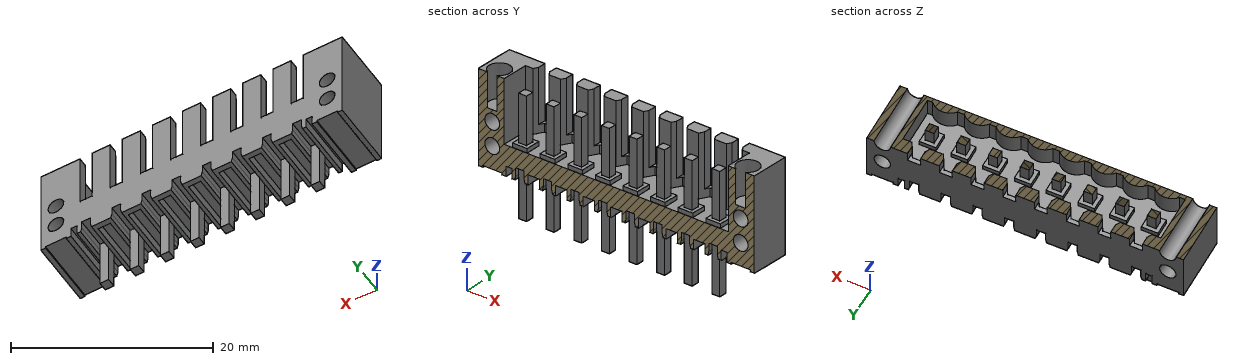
import cadquery as cq


LENGTH = 35.0
WIDTH = 7.45
HEIGHT = 11.05
FRONT = -WIDTH / 2
BACK = WIDTH / 2

PIN_COUNT = 8
PITCH = 3.5
PIN_SIZE = 1.0
PIN_Y = FRONT + 3.5
PIN_BOTTOM = -4.5
PIN_TOP = HEIGHT - 1.35
COLLAR_SIZE = 1.85
COLLAR_HEIGHT = 0.5

POCKET_LENGTH = 28.4
POCKET_FRONT = FRONT + 0.5
POCKET_BACK = FRONT + 5.9
POCKET_FLOOR = 3.6

RIB_WIDTH = 2.75
RIB_HEIGHT = 0.65

GROOVE_MOUTH = 2.0
GROOVE_BOTTOM = 0.8
GROOVE_BACK = FRONT + 6.95
SLOT_WIDTH = 1.4
SLOT_FLOOR = 4.6

POST_X = LENGTH / 2 - 1.75
SCREW_DIAMETER = 2.6
SCREW_FLOOR = 7.0
CROSS_DIAMETER = 1.8
CROSS_HEIGHTS = (2.85, 5.6)
FOOT_RELIEF_WIDTH = 2.4
FOOT_RELIEF_HEIGHT = 0.2

RECESS_LENGTH = 28.0
RECESS_DEPTH = 0.6
RECESS_HEIGHT = 2.8
NOTCH_WIDTH = 1.4
NOTCH_HEIGHT = 1.15
NOTCH_BACK = BACK - RECESS_DEPTH
CHANNEL_HEIGHT = 1.4
FLARE_HEIGHT = 0.5
FLARE_WIDTH = 0.13

PIN_XS = [(i - (PIN_COUNT - 1) / 2) * PITCH for i in range(PIN_COUNT)]
NOTCH_XS = [x + PITCH / 2 for x in PIN_XS[:-1]]
END_NOTCH_INNER = PIN_XS[-1] + (PITCH - NOTCH_WIDTH) / 2


def box(x_range, y_range, z_range):
    """Box between two limits along each axis."""
    (x0, x1), (y0, y1), (z0, z1) = x_range, y_range, z_range
    return cq.Workplane("XY").box(x1 - x0, y1 - y0, z1 - z0, centered=False).translate((x0, y0, z0))


def span(centre, width):
    """Limits of a width centred on a place."""
    return (centre - width / 2, centre + width / 2)


def square_post(x, size, bottom, top):
    """Square upright post on a pin's axis."""
    return box(span(x, size), span(PIN_Y, size), (bottom, top))


def front_rib(x):
    """Convex rib on the pocket's front wall, facing a pin."""
    return (
        cq.Workplane("XY", origin=(x, POCKET_FRONT, POCKET_FLOOR))
        .moveTo(-RIB_WIDTH / 2, 0)
        .threePointArc((0, RIB_HEIGHT), (RIB_WIDTH / 2, 0))
        .close()
        .extrude(HEIGHT - POCKET_FLOOR)
    )


def keying_groove(x):
    """Tapered groove in the pocket's back wall, narrowing towards the back."""
    return (
        cq.Workplane("XY", origin=(x, 0, POCKET_FLOOR))
        .polyline(
            [
                (-GROOVE_MOUTH / 2, POCKET_BACK),
                (GROOVE_MOUTH / 2, POCKET_BACK),
                (GROOVE_BOTTOM / 2, GROOVE_BACK),
                (-GROOVE_BOTTOM / 2, GROOVE_BACK),
            ]
        )
        .close()
        .extrude(HEIGHT - POCKET_FLOOR)
    )


def pin_channel(x):
    """Channel across the underside at a pin, flared at its mouth."""
    half = PIN_SIZE / 2
    mouth = half + FLARE_WIDTH
    return (
        cq.Workplane("XZ", origin=(x, BACK, 0))
        .polyline(
            [
                (-mouth, 0),
                (mouth, 0),
                (half, FLARE_HEIGHT),
                (half, CHANNEL_HEIGHT),
                (-half, CHANNEL_HEIGHT),
                (-half, FLARE_HEIGHT),
            ]
        )
        .close()
        .extrude(WIDTH)
    )


def cut_mating_side(housing):
    """Open the pocket with its ribs, pin collars, keying grooves and back-wall slots."""
    pocket = box(span(0, POCKET_LENGTH), (POCKET_FRONT, POCKET_BACK), (POCKET_FLOOR, HEIGHT))
    for x in PIN_XS:
        pocket = pocket.cut(front_rib(x))
        pocket = pocket.cut(square_post(x, COLLAR_SIZE, POCKET_FLOOR, POCKET_FLOOR + COLLAR_HEIGHT))
    housing = housing.cut(pocket)
    for x in PIN_XS:
        housing = housing.cut(keying_groove(x))
        housing = housing.cut(box(span(x, SLOT_WIDTH), (POCKET_BACK, BACK), (SLOT_FLOOR, HEIGHT)))
    return housing


def cut_end_post(housing, x):
    """Screw hole, cross holes and foot relief of one end post."""
    screw_hole = (
        cq.Workplane("XY", origin=(x, 0, SCREW_FLOOR))
        .circle(SCREW_DIAMETER / 2)
        .extrude(HEIGHT - SCREW_FLOOR)
    )
    cross_holes = (
        cq.Workplane("XZ", origin=(x, BACK, 0))
        .pushPoints([(0, z) for z in CROSS_HEIGHTS])
        .circle(CROSS_DIAMETER / 2)
        .extrude(WIDTH)
    )
    relief = box(span(x, FOOT_RELIEF_WIDTH), (FRONT, BACK), (0, FOOT_RELIEF_HEIGHT))
    return housing.cut(screw_hole).cut(cross_holes).cut(relief)


def cut_underside(housing):
    """Front recess, pin channels, notches between the pins and end notches beside the posts."""
    housing = housing.cut(box(span(0, RECESS_LENGTH), (FRONT, FRONT + RECESS_DEPTH), (0, RECESS_HEIGHT)))
    for x in PIN_XS:
        housing = housing.cut(pin_channel(x))
    for x in NOTCH_XS:
        housing = housing.cut(box(span(x, NOTCH_WIDTH), (FRONT, NOTCH_BACK), (0, NOTCH_HEIGHT)))
    for x_range in (
        (END_NOTCH_INNER, RECESS_LENGTH / 2),
        (-RECESS_LENGTH / 2, -END_NOTCH_INNER),
    ):
        housing = housing.cut(box(x_range, (FRONT, BACK), (0, NOTCH_HEIGHT)))
    return housing


def make_pin(x):
    return square_post(x, PIN_SIZE, PIN_BOTTOM, PIN_TOP)


def make_housing():
    housing = box(span(0, LENGTH), (FRONT, BACK), (0, HEIGHT))
    housing = cut_mating_side(housing)
    for x in (-POST_X, POST_X):
        housing = cut_end_post(housing, x)
    housing = cut_underside(housing)
    for x in PIN_XS:
        housing = housing.cut(make_pin(x))
    return housing


housing = make_housing()
pins = [make_pin(x) for x in PIN_XS]

result = cq.Compound.makeCompound([housing.solids().val(), *[pin.val() for pin in pins]])